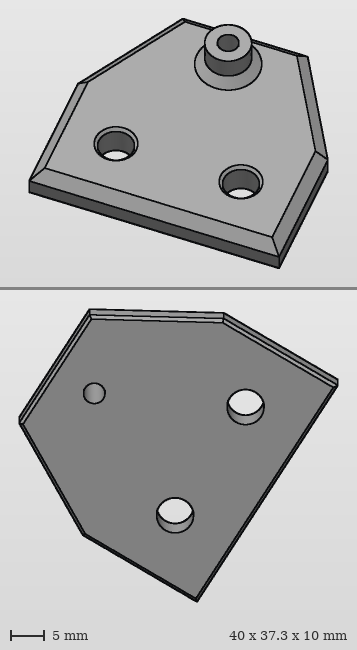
import cadquery as cq
import math

plate_width = 40.0
straight_side_length = 20.0
rear_edge_width = 20.0
corner_angle = math.radians(60)
plate_thickness = 5.0
top_chamfer = 1.8
bottom_chamfer = 0.5

mount_hole_diameter = 5.5
mount_hole_chamfer = 0.5
mount_hole_spacing = 20.0
mount_hole_y = 10.0

boss_diameter = 7.0
boss_height = 5.0
boss_foot_size = 1.5
boss_bore_diameter = 3.2
boss_to_rear_edge = 7.0

half_width = plate_width / 2
half_rear = rear_edge_width / 2
plate_depth = straight_side_length + (half_width - half_rear) * math.tan(corner_angle)
boss_y = plate_depth - boss_to_rear_edge


def make_plate():
    """Six-sided plate with its front edge on Y = 0 and its underside on Z = 0."""
    outline = [
        (-half_width, 0),
        (half_width, 0),
        (half_width, straight_side_length),
        (half_rear, plate_depth),
        (-half_rear, plate_depth),
        (-half_width, straight_side_length),
    ]
    plate = cq.Workplane("XY").polyline(outline).close().extrude(plate_thickness)
    plate = plate.faces(">Z").edges().chamfer(top_chamfer)
    return plate.faces("<Z").edges().chamfer(bottom_chamfer)


def make_boss():
    """Round boss on the plate's top face, flaring at 45 degrees into its foot."""
    radius = boss_diameter / 2
    foot_radius = radius + boss_foot_size
    boss_top = plate_thickness + boss_height
    half_profile = [
        (0, plate_thickness),
        (foot_radius, plate_thickness),
        (radius, plate_thickness + boss_foot_size),
        (radius, boss_top),
        (0, boss_top),
    ]
    boss = cq.Workplane("XZ").polyline(half_profile).close().revolve(360, (0, 0), (0, 1))
    return boss.translate((0, boss_y, 0))


def make_mount_hole(x):
    """Cutter for a through hole with a chamfered upper rim."""
    radius = mount_hole_diameter / 2
    half_profile = [
        (0, 0),
        (radius, 0),
        (radius, plate_thickness - mount_hole_chamfer),
        (radius + mount_hole_chamfer, plate_thickness),
        (0, plate_thickness),
    ]
    cutter = cq.Workplane("XZ").polyline(half_profile).close().revolve(360, (0, 0), (0, 1))
    return cutter.translate((x, mount_hole_y, 0))


def make_boss_bore():
    """Cutter for the bore through boss and plate."""
    bore = cq.Workplane("XY").circle(boss_bore_diameter / 2).extrude(plate_thickness + boss_height)
    return bore.translate((0, boss_y, 0))


result = make_plate().union(make_boss()).cut(make_boss_bore())
for side in (-1, 1):
    result = result.cut(make_mount_hole(side * mount_hole_spacing / 2))